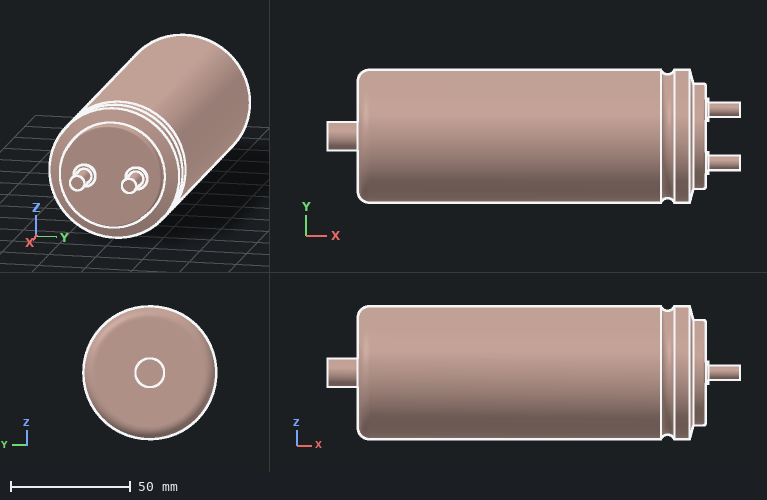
import cadquery as cq

total_length = 172.0
can_diameter = 55.5
can_radius = can_diameter / 2

stud_diameter = 12.0
stud_length = 12.5

base_round = 5.0
groove_start = 139.0
groove_width = 5.7
groove_depth = 1.9
rim_length = 6.4
rim_slope_length = 1.5

cover_radius = 22.0
cover_height = 5.2
cover_round = 1.0

terminal_spacing = 22.2
collar_diameter = 9.3
collar_height = 1.0
pin_diameter = 6.2

groove_end = groove_start + groove_width
rim_end = groove_end + rim_length
cover_base = rim_end + rim_slope_length
cover_top = cover_base + cover_height


def cylinder_along_x(start, end, diameter, y=0.0):
    """Solid cylinder from X = start to X = end, centred at the given Y."""
    return cq.Workplane("YZ", origin=(start, y, 0)).circle(diameter / 2).extrude(end - start)


def make_can():
    """Can body revolved about X, with a sloped shoulder down to the cover."""
    half_profile = (
        cq.Workplane("XY")
        .moveTo(stud_length, 0)
        .lineTo(stud_length, can_radius - base_round)
        .radiusArc((stud_length + base_round, can_radius), base_round)
        .lineTo(groove_start, can_radius)
        .threePointArc(
            (groove_start + groove_width / 2, can_radius - groove_depth),
            (groove_end, can_radius),
        )
        .lineTo(rim_end, can_radius)
        .lineTo(cover_base, cover_radius)
        .lineTo(cover_base, 0)
        .close()
    )
    return half_profile.revolve(360, (0, 0, 0), (1, 0, 0))


def make_cover():
    """Cover disc with a rounded outer edge."""
    disc = cylinder_along_x(cover_base, cover_top, 2 * cover_radius)
    return disc.faces(">X").edges().fillet(cover_round)


def make_terminal(y):
    """Round pin standing on a low collar."""
    collar = cylinder_along_x(cover_top, cover_top + collar_height, collar_diameter, y)
    pin = cylinder_along_x(cover_top, total_length, pin_diameter, y)
    return collar.union(pin)


stud = cylinder_along_x(0, stud_length, stud_diameter)

result = make_can().union(stud).union(make_cover())
for side in (-1, 1):
    result = result.union(make_terminal(side * terminal_spacing / 2))